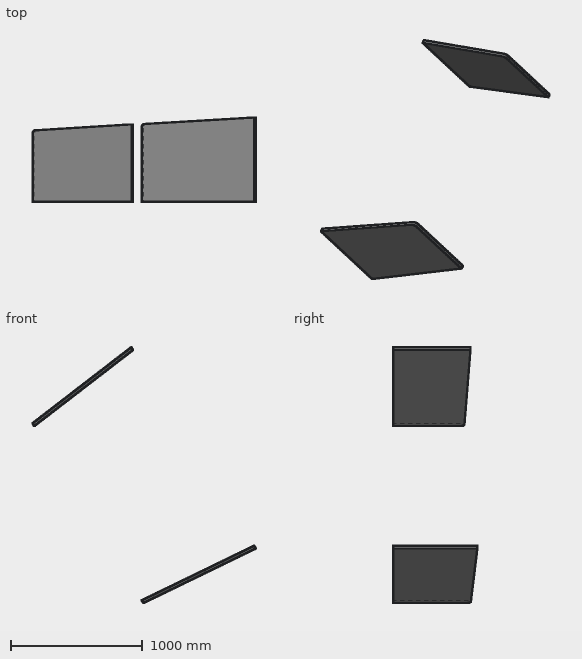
import cadquery as cq
import math

TOTAL_LENGTH = 1698.0
TOTAL_HEIGHT = 1945.0
PLATE_THICKNESS = 25.0

UPPER_SPAN = 765.0
UPPER_TILT = 37.6
UPPER_END_LEAN = 30.0
UPPER_LOW_DEPTH = 543.0
UPPER_HIGH_DEPTH = 590.0
UPPER_CORNER_RADIUS = 30.0

LOWER_SPAN = 870.0
LOWER_TILT = 25.9
LOWER_END_LEAN = 36.0
LOWER_LOW_DEPTH = 591.0
LOWER_HIGH_DEPTH = 642.0
LOWER_CORNER_RADIUS = 30.0


def end_face_length(tilt, end_lean):
    """Length of the slanted end face across the plate thickness."""
    return PLATE_THICKNESS / math.cos(math.radians(tilt - end_lean))


def end_face_offset(tilt, end_lean):
    """Horizontal distance from the top edge to the bottom edge of an end face."""
    return end_face_length(tilt, end_lean) * math.sin(math.radians(end_lean))


def plate_length(span, tilt, end_lean):
    """Length of the plate along its slope for the given X extent."""
    return (span - end_face_offset(tilt, end_lean)) / math.cos(math.radians(tilt))


def plate_height(span, tilt, end_lean):
    """Z extent of the tilted plate."""
    rise = plate_length(span, tilt, end_lean) * math.sin(math.radians(tilt))
    end_height = end_face_length(tilt, end_lean) * math.cos(math.radians(end_lean))
    return rise + end_height


def tilted_plate(span, tilt, end_lean, low_depth, high_depth, corner_radius, left, bottom):
    """Tapered plate with slanted ends and one rounded corner, tilted up towards +X."""
    length = plate_length(span, tilt, end_lean)
    skew = PLATE_THICKNESS * math.tan(math.radians(tilt - end_lean))

    section = [(0, 0), (length, 0), (length + skew, PLATE_THICKNESS), (skew, PLATE_THICKNESS)]
    blank = cq.Workplane("XZ").polyline(section).close().extrude(-high_depth)

    margin = PLATE_THICKNESS
    margin_taper = margin * (high_depth - low_depth) / length
    outline = [
        (-margin, 0),
        (length + margin, 0),
        (length + margin, high_depth + margin_taper),
        (-margin, low_depth - margin_taper),
    ]
    taper = cq.Workplane("XY").polyline(outline).close().extrude(PLATE_THICKNESS)
    flat_plate = blank.intersect(taper)

    rounded_plate = flat_plate.faces("<X").edges(">Y").fillet(corner_radius)

    tilted = rounded_plate.rotate((0, 0, 0), (0, 1, 0), -tilt)
    return tilted.translate((left + end_face_offset(tilt, end_lean), 0, bottom))


upper_plate = tilted_plate(
    UPPER_SPAN, UPPER_TILT, UPPER_END_LEAN, UPPER_LOW_DEPTH, UPPER_HIGH_DEPTH, UPPER_CORNER_RADIUS,
    left=0, bottom=TOTAL_HEIGHT - plate_height(UPPER_SPAN, UPPER_TILT, UPPER_END_LEAN),
)

lower_plate = tilted_plate(
    LOWER_SPAN, LOWER_TILT, LOWER_END_LEAN, LOWER_LOW_DEPTH, LOWER_HIGH_DEPTH, LOWER_CORNER_RADIUS,
    left=TOTAL_LENGTH - LOWER_SPAN, bottom=0,
)

result = cq.Compound.makeCompound([upper_plate.val(), lower_plate.val()])